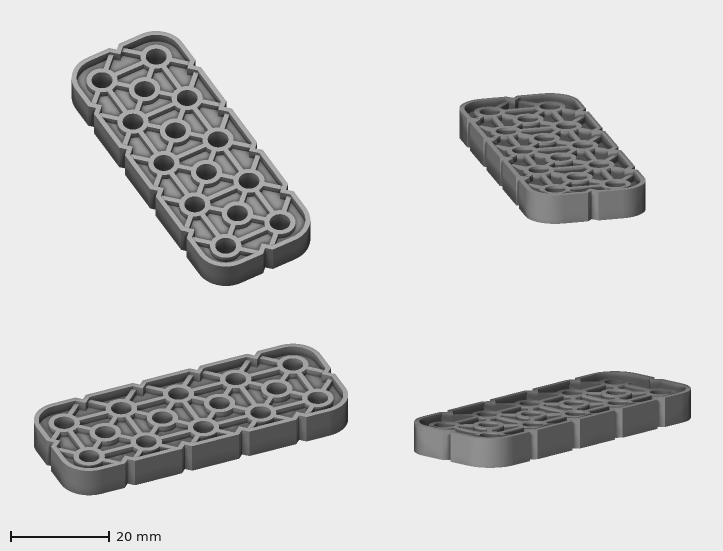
import cadquery as cq
import math

pitch = 12.7
half_pitch = pitch / 2
columns = 5
edge_clearance = 0.3

length = columns * pitch - edge_clearance
width = 2 * pitch - edge_clearance
height = 6.1
corner_radius = (pitch - edge_clearance) / 2
notch_depth = 1.15

wall = 1.0
recess_depth = 2.1
lattice_height = 1.3
rib_width = 1.0
ring_diameter = 6.4
hole_diameter = 4.25

floor_z = height - recess_depth

outer_xs = [(i - (columns - 1) / 2) * pitch for i in range(columns)]
middle_xs = [x + half_pitch for x in outer_xs[:-1]]
outer_holes = [(x, y) for x in outer_xs for y in (-half_pitch, half_pitch)]
middle_holes = [(x, 0) for x in middle_xs]
holes = outer_holes + middle_holes

notches = [(x, side * width / 2) for x in middle_xs for side in (-1, 1)]
notches += [(side * length / 2, 0) for side in (-1, 1)]


def notched_block(inset, base_z, block_height):
    """Rounded block with V-notched sides, its outline moved inwards by inset."""
    block = (
        cq.Workplane("XY", origin=(0, 0, base_z))
        .rect(length - 2 * inset, width - 2 * inset)
        .extrude(block_height)
        .edges("|Z")
        .fillet(corner_radius - inset)
    )
    notch_half_diagonal = notch_depth + inset * math.sqrt(2)
    cutters = (
        cq.Workplane("XY", origin=(0, 0, base_z))
        .pushPoints(notches)
        .polygon(4, 2 * notch_half_diagonal)
        .extrude(block_height)
    )
    return block.cut(cutters)


def rib(center, rib_length, angle):
    """Straight rib on the recess floor."""
    return (
        cq.Workplane("XY", origin=(*center, floor_z))
        .transformed(rotate=(0, 0, angle))
        .rect(rib_length, rib_width)
        .extrude(lattice_height)
    )


def lattice():
    """Rings around the holes, joined by straight and diagonal ribs."""
    body = (
        cq.Workplane("XY", origin=(0, 0, floor_z))
        .pushPoints(holes)
        .circle(ring_diameter / 2)
        .extrude(lattice_height)
    )
    for x in outer_xs:
        body = body.union(rib((x, 0), pitch, 90))
    row_length = (columns - 1) * pitch
    for y in (-half_pitch, half_pitch):
        body = body.union(rib((0, y), row_length, 0))

    diagonal = half_pitch * math.sqrt(2)
    for x, y in outer_holes:
        for step_x in (-1, 1):
            for step_y in (-1, 1):
                at_end = abs(x + step_x * half_pitch) > outer_xs[-1]
                at_side = step_y * y > 0
                if at_end and at_side:
                    continue
                center = (x + step_x * half_pitch / 2, y + step_y * half_pitch / 2)
                body = body.union(rib(center, diagonal, 45 * step_x * step_y))
    return body


plate = notched_block(0, 0, height)
recess = notched_block(wall, floor_z, recess_depth)
hole_cutters = cq.Workplane("XY").pushPoints(holes).circle(hole_diameter / 2).extrude(height)

result = plate.cut(recess).union(lattice().intersect(recess)).cut(hole_cutters)